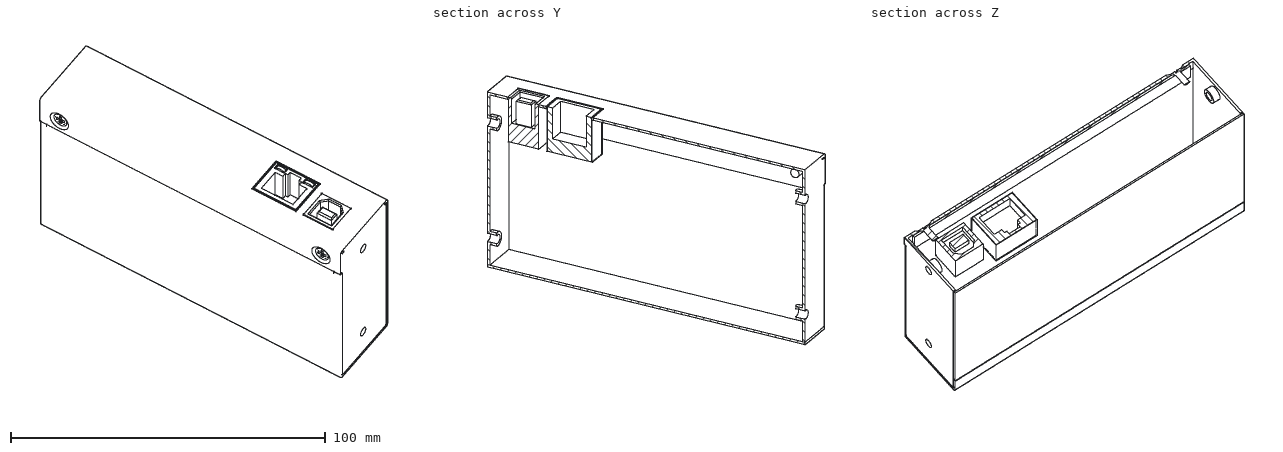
import cadquery as cq
import math

length = 115.0
depth = 27.0
height = 62.4
sheet = 1.0
bend_radius = 1.0

left = -length / 2
front = -depth / 2
back = depth / 2

flange_bottom = 51.4
roll_height = 1.3
roll_radius = 0.99
back_lip_top = 5.7
back_seam_gap = 0.3
base_edge_radius = 0.8
relief_drop = 1.2
back_relief_length = 0.8
front_relief_length = 1.0
slit_width = 0.25
relief_height = 0.35
back_sheet = 0.75
tab_margin = 2.6
mount_hole_diameter = 3.0
mount_boss_diameter = 5.0
mount_boss_length = 2.5
mount_hole_y = -0.55
mount_hole_heights = (10.6, 51.7)

screw_spacing = 100.0
screw_height = 56.2
countersink_diameter = 7.0
screw_head_diameter = 4.9
screw_head_drop = 0.6
screw_head_height = 1.0
screw_shank_diameter = 3.0
screw_shank_length = 5.0
cross_length = 3.0
cross_width = 0.8
cross_depth = 0.6

network_x = 27.75
network_y = -0.15
network_cutout = (17.0, 13.9)
network_shield = (16.5, 13.3)
network_shield_wall = 0.3
network_length = 16.0
network_cavity_depth = 11.0
network_cavity_bottom = -5.05
network_steps = ((12.1, 7.9), (6.2, 9.3), (4.2, 10.5))

lamp_spacing = 10.8
lamp_y = 4.9
lamp_size = (3.3, 1.1)
lamp_pocket = (3.8, 1.75)
lamp_pocket_depth = 2.0
lamp_rise = 0.39
lamp_shoulder_drop = 0.1

usb_x = 44.45
usb_y = -1.55
usb_size = (11.1, 10.4)
usb_bottom_gap = 0.3
usb_corner_relief = 0.25
usb_length = 16.0
usb_opening = (8.3, 8.0)
usb_opening_corner = 1.9
usb_lip = 0.4
usb_opening_y = 0.1
usb_opening_depth = 9.0
tongue_size = (5.5, 3.1)
tongue_y = -0.2
tongue_drop = 0.6
tongue_chamfer = 0.4
tongue_front_chamfer = 0.7


def block(x_range, y_range, z_range):
    """Box between the given limits along each axis."""
    size = [limits[1] - limits[0] for limits in (x_range, y_range, z_range)]
    corner = (x_range[0], y_range[0], z_range[0])
    return cq.Workplane("XY").box(*size, centered=False).translate(corner)


def plug(x, y, size, top, bottom):
    """Upright rectangular block centred on x, y."""
    return cq.Workplane("XY", origin=(x, y, bottom)).rect(*size).extrude(top - bottom)


def turned_about_screw_axis(x, profile):
    """Revolve (radius, depth behind the front face) points about a screw axis along Y."""
    outline = cq.Workplane("XY").polyline(profile).close()
    return outline.revolve(360, (0, 0, 0), (0, 1, 0)).translate((x, front, screw_height))


screw_places = (-screw_spacing / 2, screw_spacing / 2)
lamp_places = (network_x - lamp_spacing / 2, network_x + lamp_spacing / 2)

countersink_radius = countersink_diameter / 2
head_radius = screw_head_diameter / 2
shank_radius = screw_shank_diameter / 2
head_bottom = screw_head_drop + screw_head_height
shank_end = head_bottom + screw_shank_length


def screw_solid(x):
    """Countersunk screw whose flat head sits just below the flange face."""
    screw = turned_about_screw_axis(
        x,
        [
            (0, screw_head_drop),
            (head_radius, screw_head_drop),
            (shank_radius, head_bottom),
            (shank_radius, shank_end),
            (0, shank_end),
        ],
    )
    slot_front = front + screw_head_drop
    slot_y = (slot_front, slot_front + cross_depth)
    for span_x, span_z in ((cross_length, cross_width), (cross_width, cross_length)):
        slot = block(
            (x - span_x / 2, x + span_x / 2),
            slot_y,
            (screw_height - span_z / 2, screw_height + span_z / 2),
        )
        screw = screw.cut(slot)
    return screw


def screw_hole(x):
    """Space for the screw: a cone into the flange, then the screw's own shape."""
    return turned_about_screw_axis(
        x,
        [
            (0, 0),
            (countersink_radius, 0),
            (head_radius, screw_head_drop),
            (shank_radius, head_bottom),
            (shank_radius, shank_end),
            (0, shank_end),
        ],
    )


front_inner = front + sheet
back_inner = back - back_sheet


def make_base():
    envelope = block((left, -left), (front, back), (0, flange_bottom))
    rounded_ends = envelope.edges("|Z and <Y").fillet(base_edge_radius)
    envelope = envelope.edges("|X and <Z").fillet(bend_radius).intersect(rounded_ends)
    interior = block((left, -left), (front_inner, back_inner), (sheet, flange_bottom))
    above_lip = block((left, -left), (back_inner, back), (back_lip_top, flange_bottom))
    base = envelope.cut(interior).cut(above_lip)

    tab_end = -left - tab_margin
    roll_bottom = flange_bottom - roll_height
    edge = block((-tab_end, tab_end), (front, front_inner), (roll_bottom, flange_bottom))
    roll = edge.edges("|X and <Y and >Z").fillet(roll_radius)
    tab = block(
        (-tab_end, tab_end),
        (front_inner, front_inner + sheet),
        (roll_bottom - sheet, height - sheet),
    )
    base = base.cut(edge).union(roll).union(tab)
    for x in screw_places:
        base = base.cut(screw_hole(x))
    return base


def make_cover():
    cover = block((left, -left), (front, back), (sheet, height))
    cover = cover.edges("|X and >Z").fillet(bend_radius)
    inner_x = -left - sheet
    cover = cover.cut(block((-inner_x, inner_x), (front_inner, back_inner), (sheet, height - sheet)))
    cover = cover.cut(block((left, -left), (front, front_inner), (sheet, flange_bottom)))
    cover = cover.cut(block((left, -left), (back_inner, back), (sheet, back_lip_top + back_seam_gap)))

    relief_top = height - relief_drop
    slit_y = (back_inner - slit_width, back_inner)
    cut_y = (back_inner - back_relief_length, back_inner)
    front_cut_y = (front_inner, front_inner + front_relief_length)
    for end_x in ((left, -inner_x), (inner_x, -left)):
        cover = cover.cut(block(end_x, slit_y, (sheet, relief_top)))
        for cut in (cut_y, front_cut_y):
            cover = cover.cut(block(end_x, cut, (relief_top - relief_height, relief_top)))

    boss_inner_x = inner_x - mount_boss_length
    for z in mount_hole_heights:
        for boss_start in (-inner_x, boss_inner_x):
            boss = cq.Workplane("YZ", origin=(boss_start, mount_hole_y, z)).circle(mount_boss_diameter / 2)
            cover = cover.union(boss.extrude(mount_boss_length))
        hole = cq.Workplane("YZ", origin=(left, mount_hole_y, z)).circle(mount_hole_diameter / 2)
        cover = cover.cut(hole.extrude(length))
    for x in screw_places:
        cover = cover.cut(screw_hole(x))

    cover = cover.cut(plug(network_x, network_y, network_cutout, height, height - sheet))
    usb_cutout = (usb_size[0], usb_size[1] + usb_bottom_gap)
    usb_cutout_y = usb_y - usb_bottom_gap / 2
    cover = cover.cut(plug(usb_x, usb_cutout_y, usb_cutout, height, height - sheet))
    corners = cq.Workplane("XY", origin=(usb_x, usb_y, height - sheet))
    corners = corners.rect(*usb_size, forConstruction=True).vertices().circle(usb_corner_relief)
    return cover.cut(corners.extrude(sheet))


insert_size = tuple(side - 2 * network_shield_wall for side in network_shield)


def make_network_shield():
    shield = plug(network_x, network_y, network_shield, height, height - network_length)
    return shield.cut(plug(network_x, network_y, insert_size, height, height - network_length))


def make_network_insert():
    insert = plug(network_x, network_y, insert_size, height, height - network_length)
    floor = height - network_cavity_depth
    for width, reach in network_steps:
        y = network_y + network_cavity_bottom + reach / 2
        insert = insert.cut(plug(network_x, y, (width, reach), height, floor))
    for x in lamp_places:
        insert = insert.cut(plug(x, lamp_y, lamp_pocket, height, height - lamp_pocket_depth))
    return insert


def make_lamp(x):
    """Light bar with a gently domed top, standing on the floor of its pocket."""
    half_width = lamp_size[0] / 2
    floor = height - lamp_pocket_depth
    shoulder = height - lamp_shoulder_drop
    profile = (
        cq.Workplane("XZ", origin=(x, lamp_y + lamp_size[1] / 2, 0))
        .moveTo(-half_width, floor)
        .lineTo(half_width, floor)
        .lineTo(half_width, shoulder)
        .threePointArc((0, height + lamp_rise), (-half_width, shoulder))
        .close()
    )
    return profile.extrude(lamp_size[1])


def usb_opening_outline(z, grow):
    """Opening outline at height z, enlarged by grow on every side."""
    half_width = usb_opening[0] / 2 + grow
    half_reach = usb_opening[1] / 2 + grow
    corner = usb_opening_corner + grow * (2 - math.sqrt(2))
    points = [
        (-half_width, -half_reach),
        (half_width, -half_reach),
        (half_width, half_reach - corner),
        (half_width - corner, half_reach),
        (-half_width + corner, half_reach),
        (-half_width, half_reach - corner),
    ]
    return cq.Workplane("XY", origin=(usb_x, usb_y + usb_opening_y, z)).polyline(points).close()


def make_usb_socket():
    floor = height - usb_opening_depth
    lip_bottom = height - usb_lip
    socket = plug(usb_x, usb_y, usb_size, height, height - usb_length)
    socket = socket.cut(usb_opening_outline(floor, 0).extrude(usb_opening_depth))
    outlines = [usb_opening_outline(lip_bottom, 0), usb_opening_outline(height, usb_lip)]
    wires = [outline.wires().val() for outline in outlines]
    socket = socket.cut(cq.Workplane(cq.Solid.makeLoft(wires, True)))

    tongue = plug(usb_x, usb_y + tongue_y, tongue_size, height - tongue_drop, floor)
    tongue = tongue.faces(">Z").edges("<Y").chamfer(tongue_chamfer, tongue_front_chamfer)
    tongue = tongue.faces(">Z").edges("not <Y").chamfer(tongue_chamfer)
    return socket.union(tongue)


base = make_base()
cover = make_cover()
network_shield_body = make_network_shield()
network_insert = make_network_insert()
usb_socket = make_usb_socket()
screws = [screw_solid(x) for x in screw_places]
lamps = [make_lamp(x) for x in lamp_places]

result = cq.Compound.makeCompound(
    [
        base.val(),
        cover.val(),
        network_shield_body.val(),
        network_insert.val(),
        usb_socket.val(),
        *[screw.val() for screw in screws],
        *[lamp.val() for lamp in lamps],
    ]
)